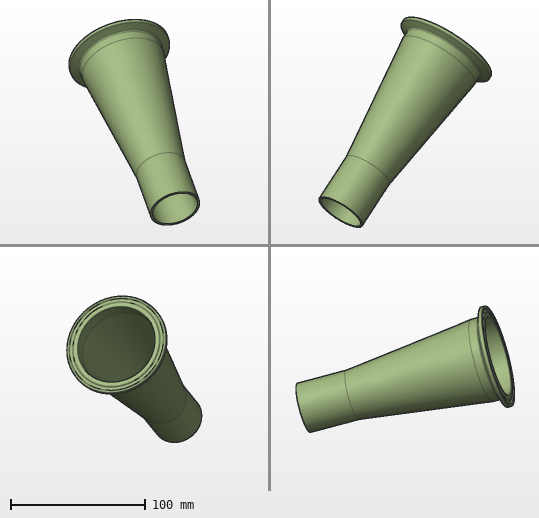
import cadquery as cq
import math

LENGTH = 152.4
FLANGE_DIAMETER = 77.4
LARGE_TUBE_DIAMETER = 63.5
LARGE_BORE_DIAMETER = 60.2
SMALL_TUBE_DIAMETER = 38.1
SMALL_BORE_DIAMETER = 34.7

RIM_WIDTH = 2.9
TAPER_START = 12.5
TAPER_END = 114.0

CLAMP_ANGLE = 20.0
CLAMP_RISE = (FLANGE_DIAMETER - LARGE_TUBE_DIAMETER) / 2
CLAMP_RUN = CLAMP_RISE * math.tan(math.radians(CLAMP_ANGLE))
RIM_FILLET = 0.5
FACE_EDGE_FILLET = 0.3
NECK_FILLET = 1.0

GROOVE_DIAMETER = 70.5
GROOVE_WIDTH = 2.9
GROOVE_DEPTH = 1.0
GROOVE_LIP_FILLET = 0.6

EDGE_TOLERANCE = 0.02


def revolve_about_x(profile):
    """Revolve a profile drawn as (axial station, radius) about the X axis."""
    return profile.revolve(360, (0, 0, 0), (1, 0, 0))


def fillet_ring(body, station, radius, fillet_radius):
    """Fillet the circular edge of the given radius about X at an axial station."""
    rings = body.edges("%CIRCLE").filter(
        lambda edge: math.isclose(edge.Center().x, station, abs_tol=EDGE_TOLERANCE)
        and math.isclose(edge.radius(), radius, abs_tol=EDGE_TOLERANCE)
    )
    return rings.fillet(fillet_radius)


def make_reducer():
    """Hollow taper joining the large tube to the small tube."""
    large_radius = LARGE_TUBE_DIAMETER / 2
    small_radius = SMALL_TUBE_DIAMETER / 2
    large_bore_radius = LARGE_BORE_DIAMETER / 2
    small_bore_radius = SMALL_BORE_DIAMETER / 2
    flange_radius = FLANGE_DIAMETER / 2
    profile = cq.Workplane("XY").polyline([
        (0, large_bore_radius),
        (0, flange_radius),
        (RIM_WIDTH, flange_radius),
        (RIM_WIDTH + CLAMP_RUN, large_radius),
        (TAPER_START, large_radius),
        (TAPER_END, small_radius),
        (LENGTH, small_radius),
        (LENGTH, small_bore_radius),
        (TAPER_END, small_bore_radius),
        (TAPER_START, large_bore_radius),
    ]).close()
    return revolve_about_x(profile)


def cut_gasket_groove(body):
    """Cut the arc-shaped gasket groove into the flange face and soften its lips."""
    middle_radius = GROOVE_DIAMETER / 2
    inner_radius = middle_radius - GROOVE_WIDTH / 2
    outer_radius = middle_radius + GROOVE_WIDTH / 2
    profile = (
        cq.Workplane("XY")
        .moveTo(0, inner_radius)
        .threePointArc((GROOVE_DEPTH, middle_radius), (0, outer_radius))
        .close()
    )
    body = body.cut(revolve_about_x(profile))
    body = fillet_ring(body, 0, inner_radius, GROOVE_LIP_FILLET)
    return fillet_ring(body, 0, outer_radius, GROOVE_LIP_FILLET)


result = cut_gasket_groove(make_reducer())
result = fillet_ring(result, 0, LARGE_BORE_DIAMETER / 2, FACE_EDGE_FILLET)
result = fillet_ring(result, 0, FLANGE_DIAMETER / 2, FACE_EDGE_FILLET)
result = fillet_ring(result, RIM_WIDTH, FLANGE_DIAMETER / 2, RIM_FILLET)
result = fillet_ring(result, RIM_WIDTH + CLAMP_RUN, LARGE_TUBE_DIAMETER / 2, NECK_FILLET)